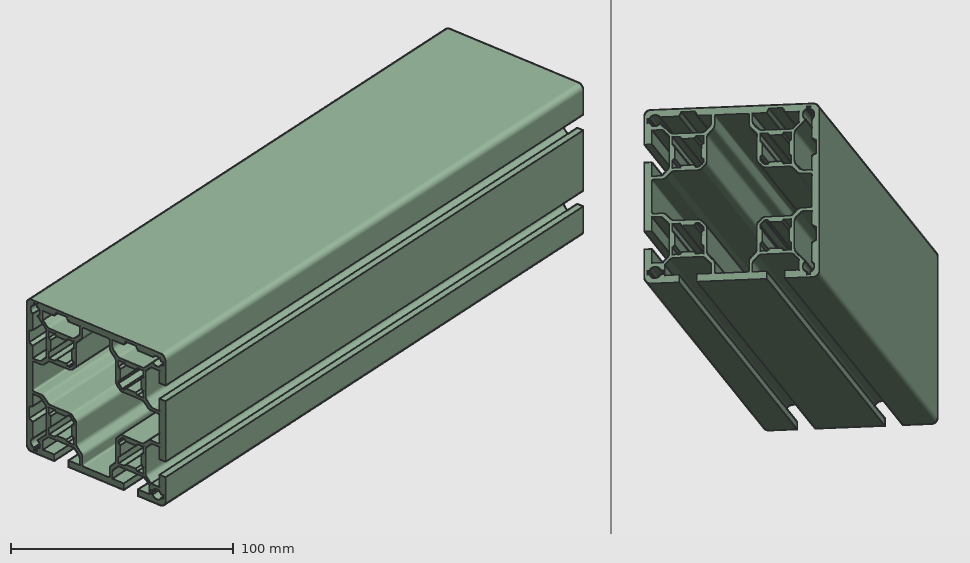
import cadquery as cq
import math

SIZE = 80.0
LENGTH = 300.0
CORNER_RADIUS = 3.0
HALF = SIZE / 2
CELL = SIZE / 4

SKIN = 3.5
WEB = 1.5
DIAGONAL_WEB = 2.1
BEND_RADIUS = 2.5
ROOT_RADIUS = 1.0
SKIN_INNER = HALF - SKIN

SLOT_WIDTH = 8.2
GROOVE_FLOOR_WIDTH = 6.0
GROOVE_DEPTH = 2.0

CORE_HALF = 8.6
CORE_CHAMFER = 3.0
CORE_ROUND = 2.5
BORE_HALF = CORE_HALF - WEB
BORE_CHAMFER = CORE_CHAMFER - WEB * (2 - math.sqrt(2))
PAD_HEIGHT = 1.0
PAD_BASE_HALF = 3.8
PAD_TOP_HALF = 2.8

CHANNEL_HALF = 10.6
CHANNEL_FLOOR = CELL + CORE_HALF
CORNER_OFFSET = WEB / math.sqrt(2)
RIB_WEB_SUM = 2 * CELL + DIAGONAL_WEB / math.sqrt(2)
OPEN_CHANNEL_END = 32.8

SCREW_CENTRE = 35.0
SCREW_RADIUS = 2.6
RELIEF_WIDTH = 1.8
RELIEF_LENGTH = 7.4

LEFT = ((-1, 0), (0, 1))
RIGHT = ((1, 0), (0, 1))
TOP = ((0, 1), (1, 0))
BOTTOM = ((0, -1), (1, 0))
OPEN_FACES = (RIGHT, BOTTOM)
CLOSED_FACES = (LEFT, TOP)
SIDES = (-1, 1)


def on_face(face, side, points):
    """Turn (along, outward) points of a channel into profile (X, Z) points."""
    (out_x, out_z), (along_x, along_z) = face
    return [(side * a * along_x + o * out_x, side * a * along_z + o * out_z) for a, o in points]


def prism(points):
    """Closed outline in the XZ plane, extruded to the full length."""
    return cq.Workplane("XZ").polyline(points).close().extrude(LENGTH / 2, both=True)


def mirrored(points):
    """All copies of profile points, mirrored in both axes and in the diagonals."""
    swapped = points + [(z, x) for x, z in points]
    return [(x * x_side, z * z_side) for x, z in swapped for x_side in SIDES for z_side in SIDES]


def outer_bar():
    """Solid square bar with rounded long edges."""
    bar = cq.Workplane("XZ").rect(SIZE, SIZE).extrude(LENGTH / 2, both=True)
    return bar.edges("|Y").fillet(CORNER_RADIUS)


def edges_at(points):
    """Selector for the lengthwise edges that pass through the given profile points."""
    reach = 0.1
    boxes = [
        cq.selectors.BoxSelector((x - reach, -reach, z - reach), (x + reach, reach, z + reach))
        for x, z in points
    ]
    selector = boxes[0]
    for box in boxes[1:]:
        selector = selector + box
    return selector


def channel(face, side, runs_into_corner):
    """Channel behind the skin, bounded by two 45 degree webs and the core tube."""
    rib_side = CELL - CHANNEL_HALF
    floor_end = CHANNEL_FLOOR - CORNER_OFFSET
    floor_start = RIB_WEB_SUM - CHANNEL_FLOOR
    corner_side = OPEN_CHANNEL_END if runs_into_corner else CELL + CHANNEL_HALF
    bends = [
        (rib_side, RIB_WEB_SUM - rib_side),
        (floor_start, CHANNEL_FLOOR),
        (floor_end, CHANNEL_FLOOR),
    ]
    points = [(rib_side, SKIN_INNER)] + bends + [
        (corner_side, corner_side + CORNER_OFFSET),
        (corner_side, SKIN_INNER),
    ]
    cavity = prism(on_face(face, side, points))
    return cavity.edges(edges_at(on_face(face, side, bends))).fillet(BEND_RADIUS)


def slot(face, side):
    """Mouth that opens a channel through the skin."""
    near = CELL - SLOT_WIDTH / 2
    far = CELL + SLOT_WIDTH / 2
    points = [(near, SKIN_INNER), (near, HALF), (far, HALF), (far, SKIN_INNER)]
    return prism(on_face(face, side, points))


def groove(face, side):
    """Tapered strip that thins the skin over a closed channel."""
    floor = SKIN_INNER + GROOVE_DEPTH
    points = [
        (CELL - SLOT_WIDTH / 2, SKIN_INNER),
        (CELL - GROOVE_FLOOR_WIDTH / 2, floor),
        (CELL + GROOVE_FLOOR_WIDTH / 2, floor),
        (CELL + SLOT_WIDTH / 2, SKIN_INNER),
    ]
    return prism(on_face(face, side, points))


def central_cavity():
    """Cross-shaped hollow between the four core tubes, reaching the skin on all four faces."""
    arm_half = CELL - CHANNEL_HALF - WEB
    inner = CELL - CORE_HALF
    web_sum = RIB_WEB_SUM - DIAGONAL_WEB * math.sqrt(2)
    root = (arm_half, SKIN_INNER)
    bends = [(arm_half, web_sum - arm_half), (inner, web_sum - inner)]
    upper_arm = [root] + bends
    right_arm = [(z, x) for x, z in reversed(upper_arm)]
    chamfer = [(inner, inner + CORE_CHAMFER), (inner + CORE_CHAMFER, inner)]
    quadrant = upper_arm + chamfer + right_arm
    half = quadrant + [(x, -z) for x, z in reversed(quadrant)]
    cavity = prism(half + [(-x, z) for x, z in reversed(half)])
    cavity = cavity.edges(edges_at(mirrored(chamfer[:1]))).fillet(CORE_ROUND)
    cavity = cavity.edges(edges_at(mirrored(bends))).fillet(BEND_RADIUS)
    return cavity.edges(edges_at(mirrored([root]))).fillet(ROOT_RADIUS)


def core_bore(x_side, z_side):
    """Square bore with a pad on each wall and a chamfer towards the profile centre."""
    pad_top = BORE_HALF - PAD_HEIGHT
    wall = [
        (-PAD_BASE_HALF, -BORE_HALF),
        (-PAD_TOP_HALF, -pad_top),
        (PAD_TOP_HALF, -pad_top),
        (PAD_BASE_HALF, -BORE_HALF),
    ]
    points = [(-BORE_HALF, -BORE_HALF)] + wall
    points += [(BORE_HALF, -BORE_HALF)] + [(-z, x) for x, z in wall]
    points += [(BORE_HALF, BORE_HALF)] + [(-x, -z) for x, z in wall]
    points += [(-BORE_HALF, BORE_HALF)] + [(z, -x) for x, z in wall]
    bore = prism([(x_side * (CELL + x), z_side * (CELL + z)) for x, z in points])
    inner = CELL - BORE_HALF
    return bore.edges(edges_at([(x_side * inner, z_side * inner)])).chamfer(BORE_CHAMFER)


def corner_hole(x_side, z_side):
    """Round hole with a relief slot: upright on the left side, level on the right side."""
    centre = (x_side * SCREW_CENTRE, z_side * SCREW_CENTRE)
    upright = x_side < 0
    relief_x = RELIEF_WIDTH if upright else RELIEF_LENGTH
    relief_z = RELIEF_LENGTH if upright else RELIEF_WIDTH
    plane = cq.Workplane("XZ").pushPoints([centre])
    hole = plane.circle(SCREW_RADIUS).extrude(LENGTH / 2, both=True)
    relief = plane.rect(relief_x, relief_z).extrude(LENGTH / 2, both=True)
    return hole.union(relief)


result = outer_bar().cut(central_cavity())

for side in SIDES:
    for face in OPEN_FACES:
        result = result.cut(channel(face, side, False)).cut(slot(face, side))
    for face in CLOSED_FACES:
        runs_into_corner = face == LEFT or side > 0
        result = result.cut(channel(face, side, runs_into_corner)).cut(groove(face, side))

for x_side in SIDES:
    for z_side in SIDES:
        result = result.cut(core_bore(x_side, z_side)).cut(corner_hole(x_side, z_side))